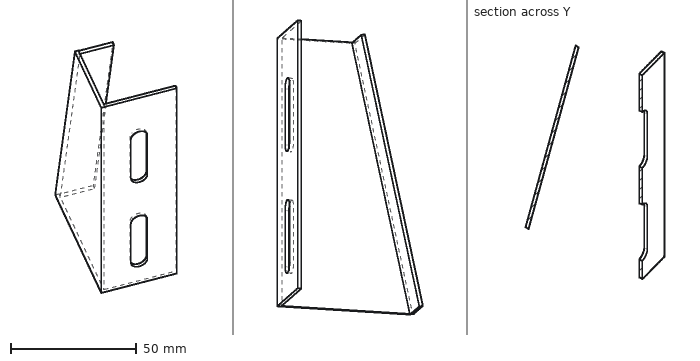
import cadquery as cq
import math

total_height = 110.6
base_width = 56.0
wall_depth = 32.0
flange_depth = 16.0
thickness = 1.5
lean_angle = math.radians(12.3)

slot_length = 30.0
slot_width = 7.0
slot_y = 16.0
lower_slot_z = 25.0
slot_pitch = 50.0

end_overhang = thickness * math.sin(lean_angle)
plate_height = total_height - 2 * end_overhang
top_width = base_width - plate_height * math.tan(lean_angle)
sheet_width_in_x = thickness / math.cos(lean_angle)

inward_x = thickness * math.cos(lean_angle)
inward_z = -thickness * math.sin(lean_angle)

outer_bottom = (-base_width, 0)
outer_top = (-top_width, plate_height)
inner_bottom = (-base_width + sheet_width_in_x, 0)
inner_top = (-top_width + sheet_width_in_x, plate_height)


def extrude_outline(points, start_y, end_y):
    """Extrude a closed XZ outline from start_y to end_y."""
    sketch = cq.Workplane("XZ", origin=(0, start_y, 0)).polyline(points).close()
    return sketch.extrude(start_y - end_y)


def inward(point):
    return (point[0] + inward_x, point[1] + inward_z)


def outward(point):
    return (point[0] - inward_x, point[1] - inward_z)


plate = extrude_outline([inner_bottom, (0, 0), (0, plate_height), inner_top], 0, thickness)

bend = extrude_outline(
    [inner_bottom, inner_top, outward(inner_top), outward(inner_bottom)], 0, thickness
)

flange = extrude_outline(
    [outer_bottom, outer_top, inward(outer_top), inward(outer_bottom)], thickness, flange_depth
)

wall = cq.Workplane("XY").box(thickness, wall_depth, plate_height, centered=False)
wall = wall.translate((-thickness, 0, 0))
slot_centers = [(slot_y, lower_slot_z + i * slot_pitch) for i in range(2)]
slots = (
    cq.Workplane("YZ", origin=(-thickness, 0, 0))
    .pushPoints(slot_centers)
    .slot2D(slot_length, slot_width, 90)
    .extrude(thickness)
)

result = plate.union(bend).union(flange).union(wall.cut(slots))